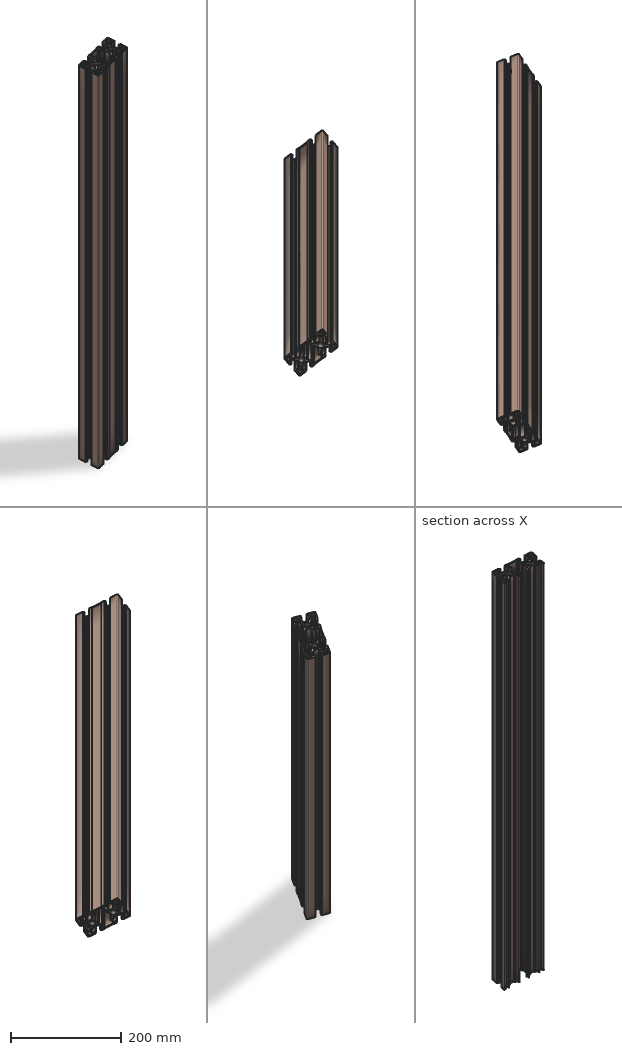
import cadquery as cq

pitch = 45.0
cell_count = 2
length = 1000.0
width = pitch
depth = pitch * cell_count
corner_radius = 2.5

half_pitch = pitch / 2
slot_half_opening = 5.0
mouth_radius = 1.6
lip_thickness = 4.6
lip_underside = half_pitch - lip_thickness
slot_half_width = 11.2
web_offset = 2.8
taper_start = slot_half_width + web_offset
slot_floor = 10.3
floor_half_width = slot_floor - web_offset
groove_half_width = 5.0
groove_floor = 8.0

core_bore_diameter = 10.8
pocket_inner = 12.3
pocket_outer = 20.0
pocket_radius = 1.2
rib_gap = 17.0

recess_width = 19.6
recess_depth = 0.7

cell_centres = [(row - (cell_count - 1) / 2) * pitch for row in range(cell_count)]


def prism(points):
    """Full-length prism standing on the XY plane."""
    return cq.Workplane("XY").polyline(points).close().extrude(length)


def block(x_min, x_max, y_min, y_max):
    """Full-length rectangular prism."""
    return prism([(x_min, y_min), (x_max, y_min), (x_max, y_max), (x_min, y_max)])


def slot_chamber(top):
    """Wide inner part of a slot, with tapered sides and a grooved floor, below the level `top`."""
    right_side = [
        (groove_half_width, groove_floor),
        (groove_half_width, slot_floor),
        (floor_half_width, slot_floor),
        (slot_half_width, taper_start),
        (slot_half_width, top),
    ]
    left_side = [(-x, y) for x, y in reversed(right_side)]
    return prism(right_side + left_side)


def t_slot():
    """Complete slot opening toward +Y, with rounded mouth edges."""
    mouth_start = half_pitch - mouth_radius
    mouth_half_width = slot_half_opening + mouth_radius
    opening = (
        cq.Workplane("XY")
        .moveTo(-slot_half_opening, slot_floor)
        .lineTo(slot_half_opening, slot_floor)
        .lineTo(slot_half_opening, mouth_start)
        .radiusArc((mouth_half_width, half_pitch), -mouth_radius)
        .lineTo(-mouth_half_width, half_pitch)
        .radiusArc((-slot_half_opening, mouth_start), -mouth_radius)
        .close()
        .extrude(length)
    )
    return slot_chamber(lip_underside).union(opening)


def place(shape, angle, centre_y):
    """Turn a slot or hollow about the cell axis and move it to its cell."""
    return shape.rotate((0, 0, 0), (0, 0, 1), angle).translate((0, centre_y, 0))


def corner_pocket():
    """Hollow in the (+X, +Y) corner of a cell."""
    pocket = block(pocket_inner, pocket_outer, pocket_inner, pocket_outer)
    return pocket.edges("|Z").fillet(pocket_radius)


def core_bore():
    """Round hole along the cell axis."""
    return cq.Workplane("XY").circle(core_bore_diameter / 2).extrude(length)


def middle_chamber():
    """Hollow between the two cells: a wide centre joined to a slot shape and pockets on each side."""
    chamber = block(-pocket_outer, pocket_outer, -rib_gap / 2, rib_gap / 2)
    branch = slot_chamber(half_pitch)
    branch = branch.union(block(pocket_inner, pocket_outer, pocket_inner, half_pitch))
    branch = branch.union(block(-pocket_outer, -pocket_inner, pocket_inner, half_pitch))
    chamber = chamber.union(place(branch, 0, cell_centres[0]))
    return chamber.union(place(branch, 180, cell_centres[1]))


def face_recesses():
    """Shallow strips along the middle of the -X and +X faces."""
    right = block(width / 2 - recess_depth, width / 2, -recess_width / 2, recess_width / 2)
    return right.union(right.mirror("YZ"))


profile = cq.Workplane("XY").rect(width, depth).extrude(length).edges("|Z").fillet(corner_radius)

for centre_y, end_angle in zip(cell_centres, (180, 0)):
    for slot_angle in (end_angle, 90, 270):
        profile = profile.cut(place(t_slot(), slot_angle, centre_y))
    for pocket_angle in (end_angle, end_angle + 90):
        profile = profile.cut(place(corner_pocket(), pocket_angle, centre_y))
    profile = profile.cut(place(core_bore(), 0, centre_y))

result = profile.cut(middle_chamber()).cut(face_recesses())